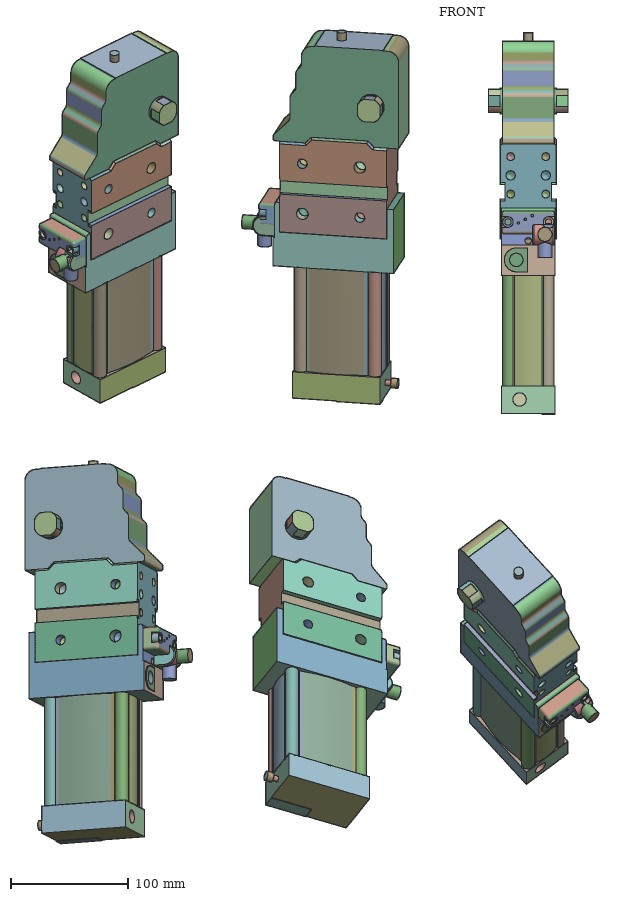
import cadquery as cq
import math


overall_height = 325.5

foot_strip_height = 0.6
foot_strip_width = 11.2
cap_half_width = 23.0
cap_half_depth = 38.2
cap_top_z = 24.2
cap_port_diameter = 11.45
cap_port_x = -7.4
cap_port_z = 12.6
cap_port_depth = 12.0
vent_screw_diameter = 5.0
vent_screw_head_diameter = 8.5
vent_screw_z = 12.2
vent_screw_head_start_y = 43.3
vent_screw_end_y = 49.0

barrel_half_width = 22.0
barrel_half_depth = 38.0
barrel_bulge_half_length = 23.8
barrel_flank_half_length = 26.8
barrel_flank_edge_x = 19.7
barrel_end_half_width = 11.6
barrel_end_edge_y = 36.2
barrel_lip_width = 1.6
barrel_lip_y = 37.1
tie_rod_diameter = 11.45
tie_rod_x = barrel_half_width - tie_rod_diameter / 2
tie_rod_y = barrel_half_depth - tie_rod_diameter / 2

head_half_width = 23.0
head_bottom_z = 118.5
head_top_z = 176.0
head_back_y = 49.9
head_front_y = -54.0
head_lower_front_y = -55.3
head_edge_radius = 2.2
pad_center_x = -10.2
pad_center_z = 131.7
pad_radius = 10.2
pad_right_x = -0.5
pad_thickness = 1.0
head_port_diameter = 11.45
head_port_depth = 12.0
head_screw_hole_diameter = 5.49
head_screw_hole_z = 148.0
head_screw_hole_depth = 8.0

housing_half_width = 24.0
housing_back_y = 44.0
housing_front_y = -49.5
housing_bottom_z = 149.5
shoulder_z = 230.7
saddle_rise = 5.4
saddle_back_y = 32.7
saddle_front_y = -27.3
housing_chamfer = 1.8
groove_bottom_z = 183.8
groove_height = 12.0
groove_depth = 4.0
groove_relief_margin = 2.0
groove_relief_depth = 0.5
drill_point_angle = 118.0
side_hole_depth = 10.0
side_thread_diameter = 8.38
side_dowel_diameter = 10.0
side_hole_back_y = 20.6
side_hole_pitch_y = 50.0
side_hole_top_z = 212.3
side_hole_pitch_z = 45.0
front_thread_diameter = 6.65
front_dowel_diameter = 7.9
front_hole_x = 15.0
front_hole_middle_z = 203.8
front_hole_pitch_z = 16.0
front_hole_depth = 12.0

hood_half_width = 22.0
hood_back_y = 54.0
hood_top_z = 317.9
hood_corner_radius = 9.5
hood_upper_front_y = -30.6
hood_step = 5.0
hood_nose_y = -55.3
hood_step_top_z = (299.6, 277.7)
hood_slope_top_z = 250.5
hood_step_radius = 5.0
hood_nose_radius = 3.0
hood_nose_bottom_radius = 2.0
hood_panel_back_y = 40.4
hood_panel_front_y = -19.2
hood_panel_height = 0.5
release_pin_diameter = 8.0

shaft_y = 30.5
shaft_z = 267.3
shaft_diameter = 22.0
shaft_flat_distance = 20.0
shaft_half_length = 34.0
shaft_round_half_length = 24.0

sensor_half_width = 22.4
sensor_front_y = -68.2
sensor_bottom_z = 153.7
sensor_top_z = 173.4
sensor_edge_radius = 2.2
sensor_screw_x = 17.3
sensor_screw_z = 164.0
sensor_screw_head_diameter = 9.0
sensor_screw_socket_diameter = 5.49
sensor_screw_socket_depth = 3.0
sensor_screw_seat_y = -61.5
sensor_screw_sink = 0.5
sensor_screw_access_diameter = 10.6
lamp_hole_diameter = 2.0
lamp_hole_depth = 2.0
lamp_middle_x = -2.5
lamp_middle_z = 166.3
lamp_pitch_x = 5.9
lamp_pitch_z = 3.1
elbow_radius = 9.2
elbow_y = -64.2
elbow_z = 153.5
elbow_left_x = 3.8
elbow_right_x = 22.3
elbow_edge_chamfer = 1.0
plug_diameter = 12.0
plug_x = 14.2
plug_front_y = -83.1
socket_bottom_z = 133.9


def block(x0, x1, y0, y1, z0, z1):
    """Box between two opposite corners."""
    return cq.Workplane("XY").box(x1 - x0, y1 - y0, z1 - z0, centered=False).translate((x0, y0, z0))


def rod(diameter, start, end):
    """Round bar between two points."""
    axis = cq.Vector(*end) - cq.Vector(*start)
    bar = cq.Solid.makeCylinder(diameter / 2, axis.Length, cq.Vector(*start), axis)
    return cq.Workplane(bar)


def drilled_hole(diameter, depth, start, direction):
    """Blind drilled hole with a conical bottom."""
    point_length = diameter / 2 / math.tan(math.radians(drill_point_angle / 2))
    start = cq.Vector(*start)
    direction = cq.Vector(*direction)
    bore = cq.Solid.makeCylinder(diameter / 2, depth, start, direction)
    point = cq.Solid.makeCone(diameter / 2, 0, point_length, start + direction * depth, direction)
    return cq.Workplane(bore).union(cq.Workplane(point))


def make_end_cap():
    cap = block(
        -cap_half_width, cap_half_width, -cap_half_depth, cap_half_depth, foot_strip_height, cap_top_z
    )
    strip_start_x = cap_half_width - foot_strip_width
    strip = block(strip_start_x, cap_half_width, 0, cap_half_depth, 0, foot_strip_height)
    port = rod(
        cap_port_diameter,
        (cap_port_x, -cap_half_depth, cap_port_z),
        (cap_port_x, -cap_half_depth + cap_port_depth, cap_port_z),
    )
    shank = rod(
        vent_screw_diameter, (0, cap_half_depth, vent_screw_z), (0, vent_screw_head_start_y, vent_screw_z)
    )
    screw_head = rod(
        vent_screw_head_diameter,
        (0, vent_screw_head_start_y, vent_screw_z),
        (0, vent_screw_end_y, vent_screw_z),
    )
    return cap.union(strip).cut(port).union(shank).union(screw_head)


def make_barrel():
    """Tube with bulged flanks and ends, and a tie rod in each corner."""
    height = head_bottom_z - cap_top_z
    base = cq.Workplane("XY", origin=(0, 0, cap_top_z))
    wide_part = (
        base.moveTo(barrel_flank_edge_x, -barrel_bulge_half_length)
        .threePointArc((barrel_half_width, 0), (barrel_flank_edge_x, barrel_bulge_half_length))
        .lineTo(barrel_flank_edge_x, barrel_flank_half_length)
        .lineTo(-barrel_flank_edge_x, barrel_flank_half_length)
        .lineTo(-barrel_flank_edge_x, barrel_bulge_half_length)
        .threePointArc((-barrel_half_width, 0), (-barrel_flank_edge_x, -barrel_bulge_half_length))
        .lineTo(-barrel_flank_edge_x, -barrel_flank_half_length)
        .lineTo(barrel_flank_edge_x, -barrel_flank_half_length)
        .close()
        .extrude(height)
    )
    long_part = (
        base.moveTo(barrel_end_half_width, -barrel_end_edge_y)
        .lineTo(barrel_end_half_width, barrel_end_edge_y)
        .threePointArc((0, barrel_half_depth), (-barrel_end_half_width, barrel_end_edge_y))
        .lineTo(-barrel_end_half_width, -barrel_end_edge_y)
        .threePointArc((0, -barrel_half_depth), (barrel_end_half_width, -barrel_end_edge_y))
        .close()
        .extrude(height)
    )
    barrel = wide_part.union(long_part)
    for side in (-1, 1):
        lip_x = side * (barrel_end_half_width + barrel_lip_width / 2)
        lip = base.center(lip_x, 0).rect(barrel_lip_width, 2 * barrel_lip_y).extrude(height)
        barrel = barrel.union(lip)
    tie_rods = base.rect(2 * tie_rod_x, 2 * tie_rod_y, forConstruction=True).vertices()
    tie_rods = tie_rods.circle(tie_rod_diameter / 2).extrude(height)
    return barrel.union(tie_rods)


def make_port_pad():
    """D-shaped pad around the front air port."""
    return (
        cq.Workplane("XZ", origin=(0, head_lower_front_y, 0))
        .moveTo(pad_right_x, pad_center_z - pad_radius)
        .lineTo(pad_right_x, pad_center_z + pad_radius)
        .lineTo(pad_center_x, pad_center_z + pad_radius)
        .threePointArc((pad_center_x - pad_radius, pad_center_z), (pad_center_x, pad_center_z - pad_radius))
        .close()
        .extrude(pad_thickness)
    )


def make_head():
    upper = block(
        -head_half_width, head_half_width, head_front_y, head_back_y, head_bottom_z, head_top_z
    )
    upper = upper.faces("<Y").edges(">Z").fillet(head_edge_radius)
    lower = block(
        -head_half_width, head_half_width, head_lower_front_y, head_back_y, head_bottom_z, elbow_z - elbow_radius
    )
    pad_front_y = head_lower_front_y - pad_thickness
    port = rod(
        head_port_diameter,
        (pad_center_x, pad_front_y, pad_center_z),
        (pad_center_x, pad_front_y + head_port_depth, pad_center_z),
    )
    screw_hole = rod(
        head_screw_hole_diameter,
        (0, head_front_y, head_screw_hole_z),
        (0, head_front_y + head_screw_hole_depth, head_screw_hole_z),
    )
    return upper.union(lower).union(make_port_pad()).cut(port).cut(screw_hole)


def make_housing():
    """Clamping block whose side walls end in a chamfered saddle against the hood."""
    saddle_z = shoulder_z + saddle_rise
    housing = (
        cq.Workplane("YZ")
        .moveTo(housing_back_y, housing_bottom_z)
        .lineTo(housing_back_y, shoulder_z)
        .lineTo(saddle_back_y, shoulder_z)
        .lineTo(saddle_back_y - saddle_rise, saddle_z)
        .lineTo(saddle_front_y + saddle_rise, saddle_z)
        .lineTo(saddle_front_y, shoulder_z)
        .lineTo(housing_front_y, shoulder_z)
        .lineTo(housing_front_y, housing_bottom_z)
        .close()
        .extrude(housing_half_width, both=True)
    )
    top_edges = cq.selectors.BoxSelector(
        (-housing_half_width - 1, housing_front_y - 1, shoulder_z - 1),
        (housing_half_width + 1, housing_back_y + 1, saddle_z + 1),
    )
    housing = housing.faces("<X or >X").edges(top_edges).chamfer(housing_chamfer)

    groove_top_z = groove_bottom_z + groove_height
    for side in (-1, 1):
        inner_x = side * (housing_half_width - groove_depth)
        outer_x = side * housing_half_width
        x_range = (min(inner_x, outer_x), max(inner_x, outer_x))
        groove = block(*x_range, housing_front_y, housing_back_y, groove_bottom_z, groove_top_z)
        relief = block(
            *x_range,
            housing_front_y,
            housing_front_y + groove_relief_depth,
            groove_bottom_z - groove_relief_margin,
            groove_top_z + groove_relief_margin,
        )
        housing = housing.cut(groove).cut(relief)
    return housing


def make_side_holes():
    """On each side, two threaded holes and two dowel holes at opposite corners of a rectangle."""
    holes = cq.Workplane("XY")
    for side in (-1, 1):
        for column in (0, 1):
            for row in (0, 1):
                diameter = side_dowel_diameter if column == row else side_thread_diameter
                y = side_hole_back_y - column * side_hole_pitch_y
                z = side_hole_top_z - row * side_hole_pitch_z
                start = (side * housing_half_width, y, z)
                holes = holes.union(drilled_hole(diameter, side_hole_depth, start, (-side, 0, 0)))
    return holes


def make_front_holes():
    """Two columns of holes: a dowel hole between two threaded holes."""
    holes = cq.Workplane("XY")
    for x in (-front_hole_x, front_hole_x):
        for row in (-1, 0, 1):
            diameter = front_dowel_diameter if row == 0 else front_thread_diameter
            start = (x, housing_front_y, front_hole_middle_z + row * front_hole_pitch_z)
            holes = holes.union(drilled_hole(diameter, front_hole_depth, start, (0, 1, 0)))
    return holes


def make_hood():
    """Hood with a stepped front that runs out into a nose over the housing."""
    middle_front_y = hood_upper_front_y - hood_step
    lower_front_y = middle_front_y - hood_step
    slope_end_z = hood_slope_top_z - (lower_front_y - hood_nose_y)
    step_corners = [
        (hood_upper_front_y, hood_step_top_z[0]),
        (middle_front_y, hood_step_top_z[0] - hood_step),
        (middle_front_y, hood_step_top_z[1]),
        (lower_front_y, hood_step_top_z[1] - hood_step),
        (lower_front_y, hood_slope_top_z),
    ]
    nose_corner = (hood_nose_y, slope_end_z)
    nose_bottom_corner = (hood_nose_y, shoulder_z)
    top_back_corner = (hood_back_y, hood_top_z)
    top_front_corner = (hood_upper_front_y, hood_top_z)
    outline = [(hood_back_y, shoulder_z), top_back_corner, top_front_corner]
    outline += step_corners + [nose_corner, nose_bottom_corner]
    hood = cq.Workplane("YZ").polyline(outline).close().extrude(hood_half_width, both=True)

    def round_corners(solid, corners, radius):
        for y, z in corners:
            edge = cq.selectors.NearestToPointSelector((0, y, z))
            solid = solid.edges("|X").edges(edge).fillet(radius)
        return solid

    hood = round_corners(hood, [top_back_corner, top_front_corner], hood_corner_radius)
    hood = round_corners(hood, step_corners, hood_step_radius)
    hood = round_corners(hood, [nose_corner], hood_nose_radius)
    hood = round_corners(hood, [nose_bottom_corner], hood_nose_bottom_radius)

    panel = block(
        -hood_half_width,
        hood_half_width,
        hood_panel_front_y,
        hood_panel_back_y,
        hood_top_z,
        hood_top_z + hood_panel_height,
    )
    release_pin = rod(release_pin_diameter, (0, 0, hood_top_z), (0, 0, overall_height))
    return hood.union(panel).union(release_pin)


def make_shaft_blank(half_length):
    return rod(shaft_diameter, (-half_length, shaft_y, shaft_z), (half_length, shaft_y, shaft_z))


def make_clamp_body():
    housing = make_housing().union(make_head())
    housing = housing.cut(make_side_holes()).cut(make_front_holes())
    body = housing.union(make_hood()).union(make_barrel()).union(make_end_cap())
    return body.cut(make_shaft_blank(shaft_half_length))


def make_arm_shaft():
    """Round shaft through the hood with four flats on each end."""
    half_flat = shaft_flat_distance / 2
    flats = block(
        -shaft_half_length,
        shaft_half_length,
        shaft_y - half_flat,
        shaft_y + half_flat,
        shaft_z - half_flat,
        shaft_z + half_flat,
    )
    ends = make_shaft_blank(shaft_half_length).intersect(flats)
    return ends.union(make_shaft_blank(shaft_round_half_length), clean=False)


def make_sensor_case():
    case = block(
        -sensor_half_width, sensor_half_width, sensor_front_y, head_front_y, sensor_bottom_z, sensor_top_z
    )
    case = case.edges("|Y").fillet(sensor_edge_radius)
    case = case.faces("<Y").edges().fillet(sensor_edge_radius)
    for row in (-1, 0, 1):
        x = lamp_middle_x + row * lamp_pitch_x
        z = lamp_middle_z + row * lamp_pitch_z
        case = case.cut(
            rod(lamp_hole_diameter, (x, sensor_front_y, z), (x, sensor_front_y + lamp_hole_depth, z))
        )
    return case


def add_case_screw(case, side):
    """Socket head screw sunk into the front of the case and open to its side."""
    x = side * sensor_screw_x
    z = sensor_screw_z
    head_radius = sensor_screw_head_diameter / 2
    head_front_face_y = sensor_front_y + sensor_screw_sink
    seat = (x, sensor_screw_seat_y, z)
    outer_x = side * sensor_half_width
    opening = block(
        min(x, outer_x),
        max(x, outer_x),
        sensor_front_y,
        sensor_screw_seat_y,
        z - head_radius,
        z + head_radius,
    )
    counterbore = rod(sensor_screw_head_diameter, (x, sensor_front_y, z), seat)
    socket = rod(
        sensor_screw_socket_diameter,
        (x, head_front_face_y, z),
        (x, head_front_face_y + sensor_screw_socket_depth, z),
    )
    screw_head = rod(sensor_screw_head_diameter, (x, head_front_face_y, z), seat).cut(socket)
    return case.cut(opening).cut(counterbore).union(screw_head)


def make_elbow():
    """Rounded elbow with one plug to the front and one socket downward."""
    drum = rod(2 * elbow_radius, (elbow_left_x, elbow_y, elbow_z), (elbow_right_x, elbow_y, elbow_z))
    drum = drum.faces("<X or >X").edges().chamfer(elbow_edge_chamfer)
    neck = block(
        elbow_left_x,
        elbow_right_x,
        elbow_y,
        head_front_y,
        elbow_z - elbow_radius,
        elbow_z + elbow_radius,
    )
    neck = neck.edges("|Y").chamfer(elbow_edge_chamfer)
    plug = rod(plug_diameter, (plug_x, elbow_y, elbow_z), (plug_x, plug_front_y, elbow_z))
    socket = rod(plug_diameter, (plug_x, elbow_y, elbow_z), (plug_x, elbow_y, socket_bottom_z))
    screw_access = rod(
        sensor_screw_access_diameter,
        (sensor_screw_x, sensor_front_y, sensor_screw_z),
        (sensor_screw_x, elbow_y - elbow_radius, sensor_screw_z),
    )
    return drum.union(neck).cut(screw_access).union(plug).union(socket)


def make_sensor():
    case = make_sensor_case()
    for side in (-1, 1):
        case = add_case_screw(case, side)
    return case.union(make_elbow())


clamp_body = make_clamp_body()
arm_shaft = make_arm_shaft()
sensor = make_sensor()

result = cq.Compound.makeCompound([clamp_body.val(), arm_shaft.val(), sensor.val()])